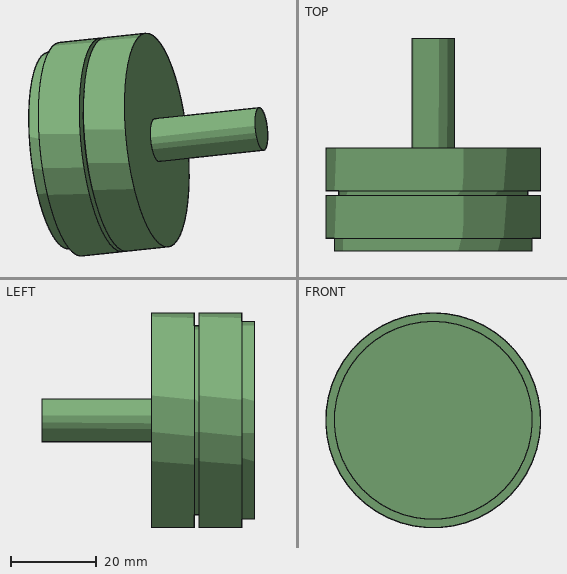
import cadquery as cq

body_diameter = 50.0
disc_thickness = 10.0
groove_width = 1.0
groove_depth = 3.0
pad_diameter = 46.0
pad_thickness = 3.0
stem_diameter = 10.0
stem_length = 25.5

groove_diameter = body_diameter - 2 * groove_depth

sections = [
    (pad_diameter, pad_thickness),
    (body_diameter, disc_thickness),
    (groove_diameter, groove_width),
    (body_diameter, disc_thickness),
    (stem_diameter, stem_length),
]


def stepped_profile(steps):
    """Half section in the YZ plane, between the Y axis and the outer surface."""
    points = [(0, 0)]
    position = 0.0
    for diameter, length in steps:
        radius = diameter / 2
        points.append((position, radius))
        position += length
        points.append((position, radius))
    points.append((position, 0))
    return cq.Workplane("YZ").polyline(points).close()


result = stepped_profile(sections).revolve(360, (0, 0), (1, 0))